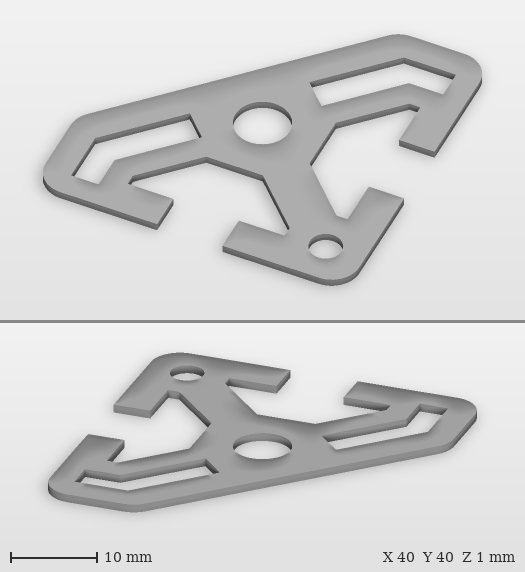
import cadquery as cq

side = 40.0
thickness = 1.0
half = side / 2
corner_radius = 3.5
diagonal_offset = 11.8

center_hole_diameter = 6.9
corner_hole_diameter = 4.0
corner_hole_offset = 15.05

slot_half_opening = 4.15
slot_half_width = 10.0
lip_thickness = 4.5
slot_wall_depth = 5.9
slot_taper = 6.4

window_outer_edge = 16.5
window_inner_edge = 13.0
window_end = 17.0
window_outer_offset = 6.15
window_inner_offset = 0.35
window_root_sum = 10.4


def prism(points):
    return cq.Workplane("XY").polyline(points).close().extrude(thickness)


def mirrored(points):
    """Reflect points across the line y = -x."""
    return [(-y, -x) for x, y in points]


def slanted_point(offset):
    """Point on the window's square-cut end with y - x = offset."""
    return ((window_root_sum - offset) / 2, (window_root_sum + offset) / 2)


plate = prism([
    (-half, -half),
    (half, -half),
    (half, half),
    (half - diagonal_offset, half),
    (-half, diagonal_offset - half),
]).edges("|Z").fillet(corner_radius)

lip_x = half - lip_thickness
wall_x = half - slot_wall_depth
upper_slot_half = [
    (half, slot_half_opening),
    (lip_x, slot_half_opening),
    (lip_x, slot_half_width),
    (wall_x, slot_half_width),
    (wall_x - slot_taper, slot_half_width - slot_taper),
]
t_slot = upper_slot_half + [(x, -y) for x, y in reversed(upper_slot_half)]

window = [
    (window_outer_edge - window_outer_offset, window_outer_edge),
    (window_end, window_outer_edge),
    (window_end, window_inner_edge),
    (window_inner_edge - window_inner_offset, window_inner_edge),
    slanted_point(window_inner_offset),
    slanted_point(window_outer_offset),
]

for cutout in (t_slot, window):
    plate = plate.cut(prism(cutout)).cut(prism(mirrored(cutout)))

center_hole = cq.Workplane("XY").circle(center_hole_diameter / 2).extrude(thickness)
corner_hole = (
    cq.Workplane("XY")
    .center(corner_hole_offset, -corner_hole_offset)
    .circle(corner_hole_diameter / 2)
    .extrude(thickness)
)

result = plate.cut(center_hole).cut(corner_hole)